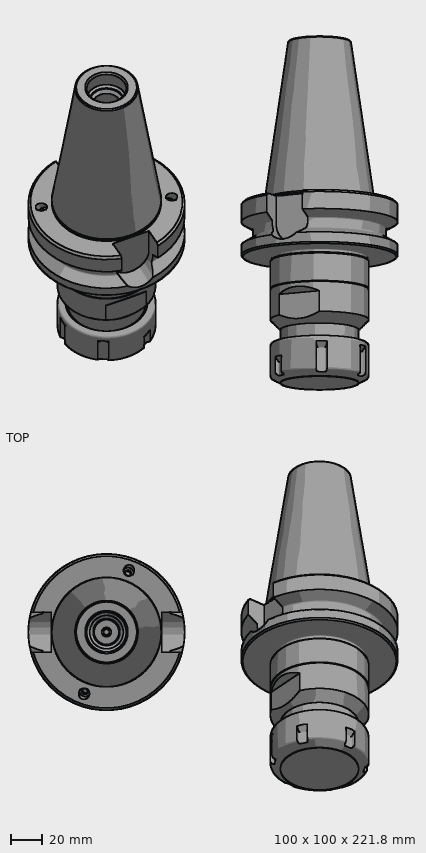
import cadquery as cq
import math


select_margin = 0.01

taper_length = 101.8
taper_slope = 7 / 48
gauge_radius = 69.85 / 2
taper_overrun = 1.0
relief_depth = 0.35
taper_edge = 0.8

flange_radius = 50.0
flange_top_z = -3.0
flange_bottom_z = -38.0
flange_top_chamfer = 1.5
flange_bottom_chamfer = 1.0
groove_center_z = -23.1
groove_floor_radius = 42.6
groove_floor_half_width = 3.3
groove_flank_angle = 30.0
groove_floor_fillet = 1.0

drive_slot_width = 25.7
drive_slot_face_x = 35.2
drive_slot_bottom_z = -34.2

shank_radius = 31.5
neck_radius = 30.6
neck_fillet = 0.8
neck_bottom_z = -40.2
mark_z = -59.2
mark_depth = 0.3
shank_bottom_z = -78.9
spigot_radius = 25.0

flat_half_distance = 28.0
flat_top_z = -65.6

bore_radius = 12.6
bore_chamfer = 1.1
bore_depth = 10.4
seat_radius = 10.7
seat_drop = 1.1
seat_land = 0.9
thread_radius = 8.6
thread_depth = 50.0
stop_chamfer = 0.7
center_radius = 3.0
center_tip_radius = 1.9
center_depth = 6.0

coolant_radius = 3.4
coolant_circle_radius = 41.9
coolant_angles = (70.0, 250.0)
coolant_tilt = 20.0
coolant_depth = 4.5
coolant_socket_radius = 1.9
coolant_socket_depth = 3.0

nut_radius = 31.5
nut_top_z = -94.2
nut_bottom_z = -120.0
nut_top_fillet = 2.0
nut_bottom_fillet = 2.0
nut_face_radius = 25.0
nut_rim_height = 0.4
nut_cone_angle = 28.0
nut_recess_bottom_z = -115.0
nut_mouth_chamfer = 1.4

wrench_slot_mouth = 7.2
wrench_slot_floor = 5.8
wrench_slot_floor_fillet = 0.8
wrench_slot_floor_radius = 28.8
wrench_slot_end_run = 3.6
long_slot_top_z = -98.0
short_slot_top_z = -105.2
long_slot_angles = (210, 270, 330)
short_slot_angles = (30, 90, 150)


def revolve_profile(points):
    """Revolve an outline of (radius, z) points about Z."""
    return cq.Workplane("YZ").polyline(points).close().revolve(360, (0, 0, 0), (0, 1, 0))


def circular_edge(radius, z):
    """Selector for the edges of that radius lying at height z."""
    reach = radius + select_margin
    low = (-reach, -reach, z - select_margin)
    high = (reach, reach, z + select_margin)
    return cq.selectors.BoxSelector(low, high, boundingbox=True)


def holder_blank():
    small_radius = gauge_radius - taper_length * taper_slope
    large_radius = gauge_radius + taper_overrun * taper_slope
    groove_half_width = groove_floor_half_width + (flange_radius - groove_floor_radius) * math.tan(
        math.radians(groove_flank_angle)
    )
    shank_cone = shank_radius - spigot_radius
    neck_step = shank_radius - neck_radius
    blank = revolve_profile(
        [
            (0, taper_length),
            (small_radius - taper_edge, taper_length),
            (small_radius + taper_edge * taper_slope, taper_length - taper_edge),
            (large_radius, -taper_overrun),
            (large_radius - relief_depth, (flange_top_z - taper_overrun) / 2),
            (large_radius, flange_top_z),
            (flange_radius - flange_top_chamfer, flange_top_z),
            (flange_radius, flange_top_z - flange_top_chamfer),
            (flange_radius, groove_center_z + groove_half_width),
            (groove_floor_radius, groove_center_z + groove_floor_half_width),
            (groove_floor_radius, groove_center_z - groove_floor_half_width),
            (flange_radius, groove_center_z - groove_half_width),
            (flange_radius, flange_bottom_z + flange_bottom_chamfer),
            (flange_radius - flange_bottom_chamfer, flange_bottom_z),
            (neck_radius, flange_bottom_z),
            (neck_radius, neck_bottom_z),
            (shank_radius, neck_bottom_z - neck_step),
            (shank_radius, mark_z + mark_depth),
            (shank_radius - mark_depth, mark_z),
            (shank_radius, mark_z - mark_depth),
            (shank_radius, shank_bottom_z),
            (spigot_radius, shank_bottom_z - shank_cone),
            (spigot_radius, nut_recess_bottom_z),
            (0, nut_recess_bottom_z),
        ]
    )
    for side in (1, -1):
        corner = circular_edge(groove_floor_radius, groove_center_z + side * groove_floor_half_width)
        blank = blank.edges(corner).fillet(groove_floor_fillet)
    return blank.edges(circular_edge(neck_radius, flange_bottom_z)).fillet(neck_fillet)


def pull_stud_bore():
    seat_z = taper_length - bore_depth
    land_z = seat_z - seat_drop - seat_land
    floor_z = taper_length - thread_depth
    return revolve_profile(
        [
            (0, taper_length),
            (bore_radius + bore_chamfer, taper_length),
            (bore_radius, taper_length - bore_chamfer),
            (bore_radius, seat_z),
            (seat_radius, seat_z - seat_drop),
            (seat_radius, land_z),
            (thread_radius, land_z - (seat_radius - thread_radius)),
            (thread_radius, floor_z - stop_chamfer),
            (thread_radius - stop_chamfer, floor_z),
            (center_radius, floor_z),
            (center_tip_radius, floor_z - (center_radius - center_tip_radius)),
            (center_tip_radius, floor_z - center_depth),
            (0, floor_z - center_depth),
        ]
    )


def drive_slot():
    """Round-bottomed slot on the +X side, open at the top and outwards."""
    half_width = drive_slot_width / 2
    arc_z = drive_slot_bottom_z + half_width
    return (
        cq.Workplane("YZ", origin=(drive_slot_face_x, 0, 0))
        .moveTo(-half_width, flange_top_z)
        .lineTo(-half_width, arc_z)
        .threePointArc((0, drive_slot_bottom_z), (half_width, arc_z))
        .lineTo(half_width, flange_top_z)
        .close()
        .extrude(flange_radius - drive_slot_face_x)
    )


def wrench_flat():
    """Material beyond the +X wrench flat, with a 45 degree run-out at its top."""
    depth = shank_radius - flat_half_distance
    return (
        cq.Workplane("XZ")
        .polyline(
            [
                (flat_half_distance, flat_top_z),
                (shank_radius, flat_top_z + depth),
                (shank_radius, shank_bottom_z - depth),
                (flat_half_distance, shank_bottom_z - depth),
            ]
        )
        .close()
        .extrude(shank_radius, both=True)
    )


def coolant_hole(angle):
    """Blind hole in the flange face, leaning towards the axis as it goes down, with a smaller socket."""
    plug = cq.Workplane("XY", origin=(0, 0, -coolant_depth)).circle(coolant_radius).extrude(2 * coolant_depth)
    socket_bottom = -coolant_depth - coolant_socket_depth
    socket = (
        cq.Workplane("XY", origin=(0, 0, socket_bottom))
        .circle(coolant_socket_radius)
        .extrude(coolant_socket_depth)
    )
    return (
        plug.union(socket)
        .rotate((0, 0, 0), (0, 1, 0), coolant_tilt)
        .translate((coolant_circle_radius, 0, flange_top_z))
        .rotate((0, 0, 0), (0, 0, 1), angle)
    )


def make_holder():
    body = holder_blank().cut(pull_stud_bore())
    for angle in (0, 180):
        for cutter in (drive_slot(), wrench_flat()):
            body = body.cut(cutter.rotate((0, 0, 0), (0, 0, 1), angle))
    for angle in coolant_angles:
        body = body.cut(coolant_hole(angle))
    return body


def nut_blank():
    cone_height = (nut_radius - nut_face_radius) * math.tan(math.radians(nut_cone_angle))
    cone_top_z = nut_bottom_z + nut_rim_height + cone_height
    blank = revolve_profile(
        [
            (0, nut_top_z),
            (nut_radius, nut_top_z),
            (nut_radius, cone_top_z),
            (nut_face_radius, nut_bottom_z + nut_rim_height),
            (nut_face_radius, nut_bottom_z),
            (0, nut_bottom_z),
        ]
    )
    blank = blank.faces(">Z").edges().fillet(nut_top_fillet)
    return blank.edges(circular_edge(nut_radius, cone_top_z)).fillet(nut_bottom_fillet)


def nut_recess():
    mouth_radius = spigot_radius + nut_mouth_chamfer
    return revolve_profile(
        [
            (0, nut_top_z),
            (mouth_radius, nut_top_z),
            (spigot_radius, nut_top_z - nut_mouth_chamfer),
            (spigot_radius, nut_recess_bottom_z),
            (0, nut_recess_bottom_z),
        ]
    )


def wrench_slot(angle, top_z):
    """Slot with rounded floor edges and sloping sides, open outwards and at the bottom of the nut."""
    depth = nut_radius - wrench_slot_floor_radius
    side_slope = (wrench_slot_mouth - wrench_slot_floor) / 2 / depth
    end_slope = wrench_slot_end_run / depth

    def section(radius):
        rise = radius - wrench_slot_floor_radius
        half = wrench_slot_floor / 2 + side_slope * rise
        top = top_z - wrench_slot_end_run + end_slope * rise
        return [
            cq.Vector(radius, -half, nut_bottom_z),
            cq.Vector(radius, half, nut_bottom_z),
            cq.Vector(radius, half, top),
            cq.Vector(radius, -half, top),
        ]

    wires = [
        cq.Wire.makePolygon(section(radius), close=True)
        for radius in (wrench_slot_floor_radius, nut_radius + depth)
    ]
    cutter = cq.Solid.makeLoft(wires, True)
    cutter = cq.Workplane(cutter).faces("<X").edges("|Z or >Z").fillet(wrench_slot_floor_fillet)
    return cutter.rotate((0, 0, 0), (0, 0, 1), angle)


def make_nut():
    body = nut_blank().cut(nut_recess())
    for angles, top_z in ((long_slot_angles, long_slot_top_z), (short_slot_angles, short_slot_top_z)):
        for angle in angles:
            body = body.cut(wrench_slot(angle, top_z))
    return body


holder = make_holder()
nut = make_nut()
result = cq.Compound.makeCompound([holder.val(), nut.val()])